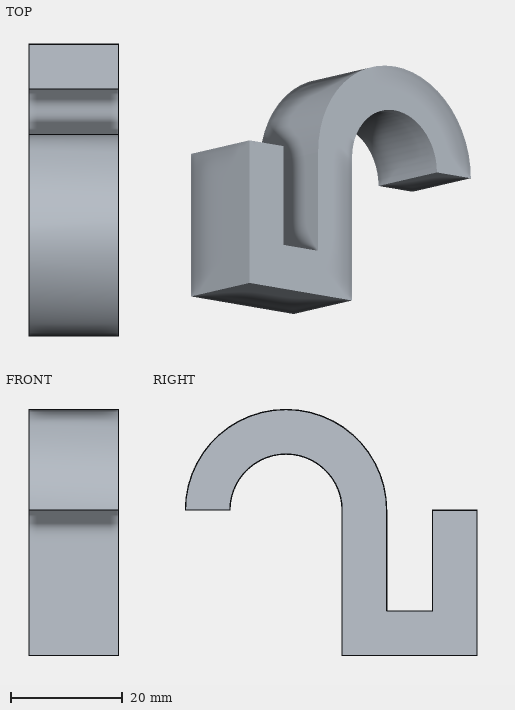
import cadquery as cq

width = 16.0
thickness = 8.0
slot_gap = 8.16
inner_radius = 10.0
slot_depth = 18.0

outer_radius = inner_radius + thickness
spring_height = thickness + slot_depth

stem_front = inner_radius
stem_back = stem_front + thickness
lip_front = stem_back + slot_gap
lip_back = lip_front + thickness


def make_profile():
    """Closed S-shaped outline in the YZ plane: lip, base, stem and half-round hook."""
    return (
        cq.Workplane("YZ")
        .moveTo(lip_back, 0)
        .lineTo(lip_back, spring_height)
        .lineTo(lip_front, spring_height)
        .lineTo(lip_front, thickness)
        .lineTo(stem_back, thickness)
        .lineTo(stem_back, spring_height)
        .threePointArc((0, spring_height + outer_radius), (-outer_radius, spring_height))
        .lineTo(-inner_radius, spring_height)
        .threePointArc((0, spring_height + inner_radius), (stem_front, spring_height))
        .lineTo(stem_front, 0)
        .close()
    )


result = make_profile().extrude(width / 2, both=True)